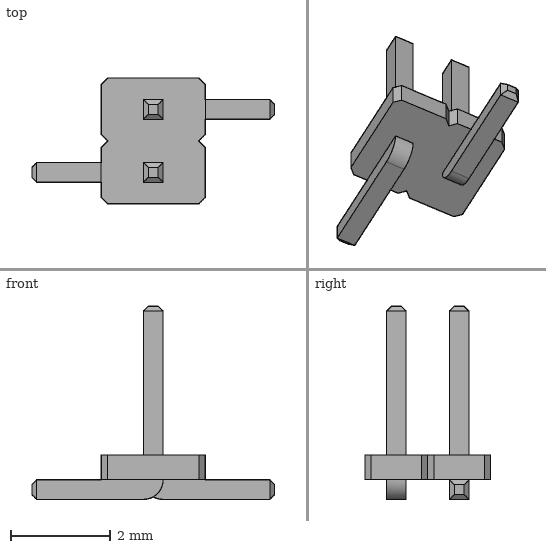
import cadquery as cq

pitch = 1.27
pin_count = 2
pin_size = 0.4
tip_taper = 0.1
body_width = 2.1
body_height = 0.5
body_chamfer = 0.13
overall_length = 4.9
overall_height = 3.9

half_pin = pin_size / 2
lead_reach = overall_length / 2
tip_size = pin_size - 2 * tip_taper


def make_body():
    """Row of chamfered cells, leaving V notches where neighbours meet."""
    half_width = body_width / 2
    half_pitch = pitch / 2
    flat_width = half_width - body_chamfer
    flat_pitch = half_pitch - body_chamfer
    body = None
    for index in range(pin_count):
        cell = (
            cq.Workplane("XY", origin=(0, pin_y(index), pin_size))
            .polyline([
                (-flat_width, -half_pitch),
                (flat_width, -half_pitch),
                (half_width, -flat_pitch),
                (half_width, flat_pitch),
                (flat_width, half_pitch),
                (-flat_width, half_pitch),
                (-half_width, flat_pitch),
                (-half_width, -flat_pitch),
            ])
            .close()
            .extrude(body_height)
        )
        body = cell if body is None else body.union(cell)
    return body


def pin_y(index):
    return (index - (pin_count - 1) / 2) * pitch


def make_tip(plane):
    """Square pyramid frustum growing along the plane normal."""
    return (
        cq.Workplane(plane)
        .rect(pin_size, pin_size)
        .workplane(offset=tip_taper)
        .rect(tip_size, tip_size)
        .loft(ruled=True)
    )


def make_pin():
    """Bent pin at Y = 0 whose lead points toward -X."""
    post_end = overall_height - tip_taper
    lead_end = -lead_reach + tip_taper
    bar = (
        cq.Workplane("XZ", origin=(0, half_pin, 0))
        .moveTo(lead_end, 0)
        .lineTo(-half_pin, 0)
        .radiusArc((half_pin, pin_size), -pin_size)
        .lineTo(half_pin, post_end)
        .lineTo(-half_pin, post_end)
        .lineTo(-half_pin, pin_size)
        .lineTo(lead_end, pin_size)
        .close()
        .extrude(pin_size)
    )
    post_tip = make_tip(cq.Plane(origin=(0, 0, post_end)))
    lead_tip = make_tip(cq.Plane(origin=(lead_end, 0, half_pin), xDir=(0, 1, 0), normal=(-1, 0, 0)))
    return bar.union(post_tip).union(lead_tip)


result = make_body()
for index in range(pin_count):
    turn = 180 * (index % 2)
    pin = make_pin().rotate((0, 0, 0), (0, 0, 1), turn).translate((0, pin_y(index), 0))
    result = result.union(pin)